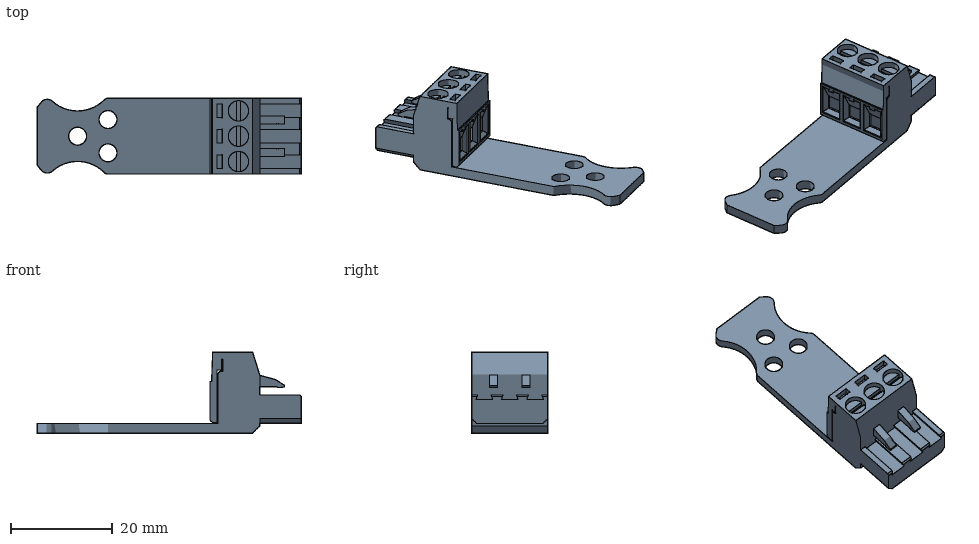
import cadquery as cq
import math


length = 52.0
width = 15.0
height = 16.0
half_width = width / 2

pole_count = 3
pole_pitch = width / pole_count
pole_positions = [(i - (pole_count - 1) / 2) * pole_pitch for i in range(pole_count)]

plate_thickness = 2.0
waist_radius = 7.45
waist_x = 7.95
waist_half_width = 5.0
lobe_radius = 1.5
lobe_y = 5.75
grip_end_half_width = 5.7
shoulder_radius = 1.0
plate_hole_diameter = 3.5
single_hole_x = waist_x
hole_pair_x = 13.95
hole_pair_spacing = 6.55

housing_front = 34.5
housing_top_end = 42.45
housing_back = 43.85
housing_shoulder_z = 11.5
bottom_chamfer = 1.45

gap = 0.15
cover_front = 34.0
cover_back = 35.4
hook_back = 36.35
hook_top = 14.6
hook_bottom = 12.45
cover_bottom = plate_thickness + gap
cover_bottom_chamfer = 0.45
cover_step_z = 10.25
cover_step_x = 34.3
ledge_round = 0.8

entry_width = 4.15
entry_bottom = 3.2
entry_top = 9.6
entry_inner_width = 2.6
entry_inner_bottom = 4.0
entry_inner_top = 7.0
entry_rim_depth = 0.25
entry_taper_depth = 0.8
key_width = 1.15
key_height = 0.45

screw_x = 39.6
screw_well_diameter = 4.0
screw_well_depth = 1.25
driver_slot_width = 0.8
driver_slot_depth = 1.0
test_slot_length = 2.65
test_slot_drop = 0.3

plug_top = 7.6
plug_bottom = plate_thickness
plug_edge_chamfer = 0.95
plug_end_chamfer = 0.3
channel_width = 2.65
channel_depth = 0.95
channel_undercut = 0.3

latch_width = 1.55
latch_y = 3.2
latch_embed = 0.5
latch_root_x = housing_back - latch_embed
latch_root_top = 11.6
latch_bend = (46.9, 10.6)
latch_bend_radius = 1.25
latch_tip_x = 48.7
latch_tip_top = 9.45
latch_underside = 9.15
latch_barb = [(48.05, 9.0), (47.5, 9.0), (47.1, latch_underside)]


def extrude_across(points, across, center_y=0.0):
    """Extrude an X-Z outline along Y, centred on center_y."""
    plane = cq.Workplane("XZ", origin=(0, center_y, 0))
    return plane.polyline(points).close().extrude(across / 2, both=True)


def box_between(x_range, y_center, y_size, z_range):
    x_size = x_range[1] - x_range[0]
    z_size = z_range[1] - z_range[0]
    corner = (x_range[0], y_center - y_size / 2, z_range[0])
    return cq.Workplane("XY").box(x_size, y_size, z_size, centered=False).translate(corner)


def point_on(center, radius, angle):
    return (center[0] + radius * math.cos(angle), center[1] + radius * math.sin(angle))


def mirrored(point):
    return (point[0], -point[1])


def make_plate():
    waist_center = (waist_x, waist_half_width + waist_radius)

    lobe_dx = math.sqrt((waist_radius + lobe_radius) ** 2 - (waist_center[1] - lobe_y) ** 2)
    lobe_center = (waist_x - lobe_dx, lobe_y)
    shoulder_y = half_width - shoulder_radius
    shoulder_dx = math.sqrt((waist_radius + shoulder_radius) ** 2 - (waist_center[1] - shoulder_y) ** 2)
    shoulder_center = (waist_x + shoulder_dx, shoulder_y)

    grip_corner = (0, grip_end_half_width)
    corner_dx = grip_corner[0] - lobe_center[0]
    corner_dy = grip_corner[1] - lobe_center[1]
    corner_angle = math.atan2(corner_dy, corner_dx) % (2 * math.pi)
    lobe_start_angle = corner_angle - math.acos(lobe_radius / math.hypot(corner_dx, corner_dy))
    lobe_end_angle = math.atan2(waist_center[1] - lobe_y, lobe_dx)
    shoulder_angle = math.atan2(waist_center[1] - shoulder_y, -shoulder_dx)

    lobe_start = point_on(lobe_center, lobe_radius, lobe_start_angle)
    lobe_mid = point_on(lobe_center, lobe_radius, (lobe_start_angle + lobe_end_angle) / 2)
    lobe_end = point_on(lobe_center, lobe_radius, lobe_end_angle)
    waist_mid = (waist_x, waist_half_width)
    waist_end = point_on(shoulder_center, shoulder_radius, shoulder_angle)
    shoulder_mid = point_on(shoulder_center, shoulder_radius, (shoulder_angle + math.pi / 2) / 2)
    shoulder_end = (shoulder_center[0], half_width)

    outline = (
        cq.Workplane("XY")
        .moveTo(*grip_corner)
        .lineTo(*lobe_start)
        .threePointArc(lobe_mid, lobe_end)
        .threePointArc(waist_mid, waist_end)
        .threePointArc(shoulder_mid, shoulder_end)
        .lineTo(cover_back, half_width)
        .lineTo(cover_back, -half_width)
        .lineTo(*mirrored(shoulder_end))
        .threePointArc(mirrored(shoulder_mid), mirrored(waist_end))
        .threePointArc(mirrored(waist_mid), mirrored(lobe_end))
        .threePointArc(mirrored(lobe_mid), mirrored(lobe_start))
        .lineTo(*mirrored(grip_corner))
        .close()
    )
    hole_centers = [
        (single_hole_x, 0),
        (hole_pair_x, hole_pair_spacing / 2),
        (hole_pair_x, -hole_pair_spacing / 2),
    ]
    holes = cq.Workplane("XY").pushPoints(hole_centers).circle(plate_hole_diameter / 2)
    return outline.extrude(plate_thickness).cut(holes.extrude(plate_thickness))


def make_housing():
    block = extrude_across(
        [
            (housing_front, 0),
            (housing_back - bottom_chamfer, 0),
            (housing_back, bottom_chamfer),
            (housing_back, housing_shoulder_z),
            (housing_top_end, height),
            (housing_front, height),
        ],
        width,
    )
    recess_back = cover_back + gap
    pocket_back = hook_back + gap
    ledge_z = hook_bottom - gap
    round_offset = ledge_round * (1 - math.sqrt(0.5))
    recess = (
        cq.Workplane("XZ")
        .moveTo(housing_front, plate_thickness)
        .lineTo(recess_back, plate_thickness)
        .lineTo(recess_back, ledge_z - ledge_round)
        .threePointArc(
            (recess_back + round_offset, ledge_z - round_offset),
            (recess_back + ledge_round, ledge_z),
        )
        .lineTo(pocket_back, ledge_z)
        .lineTo(pocket_back, hook_top)
        .lineTo(housing_front, hook_top)
        .close()
        .extrude(half_width, both=True)
    )
    return block.cut(recess)


def make_cover():
    return extrude_across(
        [
            (housing_front, hook_top),
            (hook_back, hook_top),
            (hook_back, hook_bottom),
            (cover_back, hook_bottom),
            (cover_back, cover_bottom),
            (cover_front + cover_bottom_chamfer, cover_bottom),
            (cover_front, cover_bottom + cover_bottom_chamfer),
            (cover_front, cover_step_z),
            (cover_step_x, cover_step_z),
        ],
        width,
    )


def make_wire_entry(y):
    """Straight rim with a small key at its top edge, a tapered mouth, then a straight passage."""
    outer_height = entry_top - entry_bottom
    inner_height = entry_inner_top - entry_inner_bottom
    outer_z = (entry_top + entry_bottom) / 2
    inner_z = (entry_inner_top + entry_inner_bottom) / 2
    taper_start = cover_front + entry_rim_depth
    taper_end = taper_start + entry_taper_depth
    rim = box_between((cover_front, taper_start), y, entry_width, (entry_bottom, entry_top))
    key = box_between((cover_front, taper_start), y, key_width, (entry_top - key_height, entry_top))
    mouth = (
        cq.Workplane("YZ", origin=(taper_start, y, 0))
        .center(0, outer_z)
        .rect(entry_width, outer_height)
        .workplane(offset=entry_taper_depth)
        .center(0, inner_z - outer_z)
        .rect(entry_inner_width, inner_height)
        .loft(ruled=True)
    )
    passage_z = (entry_inner_bottom, entry_inner_top)
    passage = box_between((taper_end, cover_back), y, entry_inner_width, passage_z)
    return mouth.union(passage).union(rim.cut(key))


def make_screw_well(y):
    """Round well with a screwdriver slot across its floor."""
    floor_z = height - screw_well_depth
    well = cq.Workplane("XY", origin=(screw_x, y, floor_z)).circle(screw_well_diameter / 2)
    well = well.extrude(screw_well_depth)
    slot_x = (screw_x - driver_slot_width / 2, screw_x + driver_slot_width / 2)
    slot = box_between(slot_x, y, screw_well_diameter, (floor_z - driver_slot_depth, height))
    return well.union(slot.intersect(well.translate((0, 0, -driver_slot_depth))))


def make_test_slot(y):
    """Slot from the housing top down to the hook, with a floor falling away from the front."""
    slot_back = hook_back + gap
    return extrude_across(
        [
            (cover_back, hook_top),
            (slot_back, hook_top - test_slot_drop),
            (slot_back, height),
            (cover_back, height),
        ],
        test_slot_length,
        y,
    )


def make_plug():
    """Block rooted inside the housing, with chamfered lower edges and an undercut channel per pole."""
    plug_length = length - housing_back
    block = (
        box_between((housing_top_end, length), 0, width, (plug_bottom, plug_top))
        .edges("|X and <Z")
        .chamfer(plug_edge_chamfer)
        .edges(">X and >Z")
        .chamfer(plug_end_chamfer)
    )
    half_mouth = channel_width / 2
    half_floor = half_mouth + channel_undercut
    channel_floor = plug_top - channel_depth
    for y in pole_positions:
        channel = (
            cq.Workplane("YZ", origin=(housing_back, y, 0))
            .moveTo(-half_mouth, plug_top)
            .lineTo(-half_floor, channel_floor)
            .lineTo(half_floor, channel_floor)
            .lineTo(half_mouth, plug_top)
            .close()
            .extrude(plug_length)
        )
        block = block.cut(channel)
    return block


def make_latch(y):
    """Arm with a rounded bend on top and a small barb under its tip."""
    arm_outline = [
        (latch_root_x, latch_underside),
        (latch_root_x, latch_root_top),
        latch_bend,
        (latch_tip_x, latch_tip_top),
        (latch_tip_x, latch_underside),
    ]
    arm = extrude_across(arm_outline + latch_barb, latch_width, y)
    bend_x, bend_z = latch_bend
    return arm.edges(cq.selectors.NearestToPointSelector((bend_x, y, bend_z))).fillet(latch_bend_radius)


result = make_plate().union(make_housing()).union(make_cover()).union(make_plug())

for latch_side in (-1, 1):
    result = result.union(make_latch(latch_side * latch_y))

for pole_y in pole_positions:
    result = result.cut(make_wire_entry(pole_y))
    result = result.cut(make_screw_well(pole_y))
    result = result.cut(make_test_slot(pole_y))